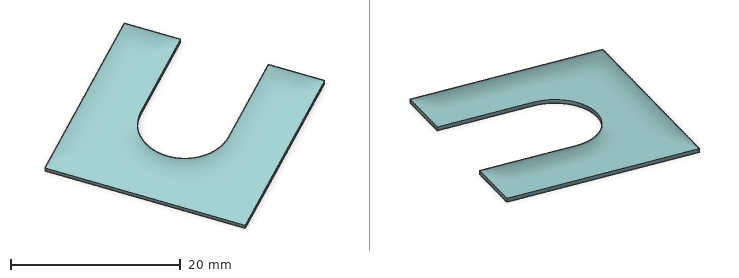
import cadquery as cq

side = 25.4
thickness = 0.5
slot_width = 11.13
slot_radius = slot_width / 2

plate = cq.Workplane("XY").box(side, side, thickness)

slot = (
    cq.Workplane("XY")
    .workplane(offset=-thickness / 2)
    .moveTo(-slot_radius, side / 2)
    .lineTo(-slot_radius, 0)
    .threePointArc((0, -slot_radius), (slot_radius, 0))
    .lineTo(slot_radius, side / 2)
    .close()
    .extrude(thickness)
)

result = plate.cut(slot)